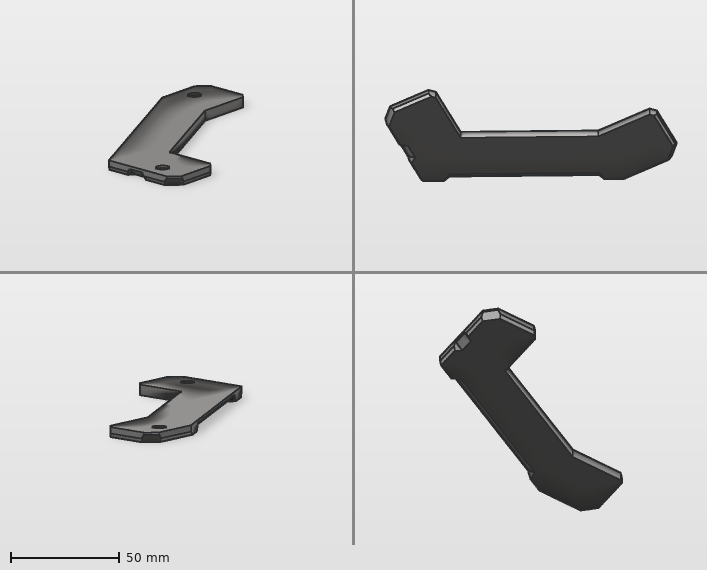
import cadquery as cq
import math

LENGTH_X = 83.5
LENGTH_Y = 113.5
THICKNESS = 5.0
ARM_WIDTH = 27.5
LARGE_CORNER = 5.0
SMALL_CORNER = 2.5

DIAGONAL_SLOPE = 2.0
STRIP_WIDTH = 24.0
OUTER_DIAGONAL_TOP = 85.75
STRIP_RISE = STRIP_WIDTH * math.hypot(1, DIAGONAL_SLOPE)
INNER_DIAGONAL_TOP = OUTER_DIAGONAL_TOP + STRIP_RISE - DIAGONAL_SLOPE * ARM_WIDTH
OUTER_DIAGONAL_FOOT = OUTER_DIAGONAL_TOP / DIAGONAL_SLOPE
INNER_DIAGONAL_FOOT = ARM_WIDTH + (INNER_DIAGONAL_TOP - ARM_WIDTH) / DIAGONAL_SLOPE

HOLE_DIAMETER = 6.3
HOLE_DEPTH = 1.25
HOLE_NEAR_EDGE = 8.5
HOLE_FAR_EDGE = 15.0

BEVEL_STEEPNESS = 2.0
EDGE_BEVEL_WIDTH = 1.0
EDGE_BEVEL_HEIGHT = BEVEL_STEEPNESS * EDGE_BEVEL_WIDTH
CORNER_BEVEL_WIDTH = 2.0
CORNER_BEVEL_HEIGHT = BEVEL_STEEPNESS * CORNER_BEVEL_WIDTH

NOTCH_HEIGHT = 3.5
NOTCH_ROOF_DEPTH = 0.25
NOTCH_FLARE = math.tan(math.radians(35.0))
FRONT_NOTCH_LENGTH = 7.3
FRONT_NOTCH_X = 59.4
DIAGONAL_NOTCH_LENGTH = 69.0
DIAGONAL_NOTCH_X = OUTER_DIAGONAL_FOOT / 2
DIAGONAL_NOTCH_Y = OUTER_DIAGONAL_TOP / 2

MARGIN = 1.0


def make_plate():
    outline = [
        (OUTER_DIAGONAL_FOOT, 0),
        (LENGTH_X - LARGE_CORNER, 0),
        (LENGTH_X, LARGE_CORNER),
        (LENGTH_X, ARM_WIDTH - SMALL_CORNER),
        (LENGTH_X - SMALL_CORNER, ARM_WIDTH),
        (INNER_DIAGONAL_FOOT, ARM_WIDTH),
        (ARM_WIDTH, INNER_DIAGONAL_TOP),
        (ARM_WIDTH, LENGTH_Y - SMALL_CORNER),
        (ARM_WIDTH - SMALL_CORNER, LENGTH_Y),
        (LARGE_CORNER, LENGTH_Y),
        (0, LENGTH_Y - LARGE_CORNER),
        (0, OUTER_DIAGONAL_TOP),
    ]
    return cq.Workplane("XY").polyline(outline).close().extrude(THICKNESS)


def place_on_edge(cutter, x, y, inward_angle):
    """Move a cutter built along +Y so that +Y points into the body from an edge point."""
    return cutter.rotate((0, 0, 0), (0, 0, 1), inward_angle - 90).translate((x, y, 0))


def bevel_cutter(width, height, length):
    """Wedge along X that bevels the lower edge of a wall standing at Y = 0."""
    slope = width / height
    profile = [
        (-MARGIN, -MARGIN),
        (width + slope * MARGIN, -MARGIN),
        (-slope * MARGIN, height + MARGIN),
        (-MARGIN, height + MARGIN),
    ]
    return cq.Workplane("YZ").polyline(profile).close().extrude(length / 2, both=True)


def notch_cutter(length):
    """Undercut below a wall at Y = 0; length is that of its sloping back face."""
    def section(depth):
        half = length / 2
        outer_half = half + NOTCH_FLARE * (depth + MARGIN)
        return [(-half, depth), (half, depth), (outer_half, -MARGIN), (-outer_half, -MARGIN)]

    return (
        cq.Workplane("XY")
        .polyline(section(NOTCH_ROOF_DEPTH + NOTCH_HEIGHT)).close()
        .workplane(offset=NOTCH_HEIGHT)
        .polyline(section(NOTCH_ROOF_DEPTH)).close()
        .loft(ruled=True)
    )


def cut_edge_bevels(body):
    straight_edges = [
        (LENGTH_X / 2, 0, 90),
        (0, LENGTH_Y / 2, 0),
        (LENGTH_X / 2, LENGTH_Y, -90),
        (LENGTH_X, LENGTH_Y / 2, 180),
    ]
    cutter = bevel_cutter(EDGE_BEVEL_WIDTH, EDGE_BEVEL_HEIGHT, 2 * LENGTH_Y)
    for x, y, inward_angle in straight_edges:
        body = body.cut(place_on_edge(cutter, x, y, inward_angle))
    return body


def cut_corner_bevels(body):
    corners = [
        (LENGTH_X - LARGE_CORNER / 2, LARGE_CORNER / 2, 135),
        (LARGE_CORNER / 2, LENGTH_Y - LARGE_CORNER / 2, -45),
    ]
    cutter = bevel_cutter(CORNER_BEVEL_WIDTH, CORNER_BEVEL_HEIGHT, 4 * LARGE_CORNER)
    for x, y, inward_angle in corners:
        body = body.cut(place_on_edge(cutter, x, y, inward_angle))
    return body


def cut_notches(body):
    front_notch = place_on_edge(notch_cutter(FRONT_NOTCH_LENGTH), FRONT_NOTCH_X, 0, 90)
    diagonal_inward_angle = math.degrees(math.atan2(1, DIAGONAL_SLOPE))
    diagonal_notch = place_on_edge(
        notch_cutter(DIAGONAL_NOTCH_LENGTH),
        DIAGONAL_NOTCH_X,
        DIAGONAL_NOTCH_Y,
        diagonal_inward_angle,
    )
    return body.cut(front_notch).cut(diagonal_notch)


def cut_holes(body):
    centers = [
        (HOLE_NEAR_EDGE, LENGTH_Y - HOLE_FAR_EDGE),
        (LENGTH_X - HOLE_FAR_EDGE, HOLE_NEAR_EDGE),
    ]
    holes = (
        cq.Workplane("XY")
        .workplane(offset=THICKNESS - HOLE_DEPTH)
        .pushPoints(centers)
        .circle(HOLE_DIAMETER / 2)
        .extrude(HOLE_DEPTH)
    )
    return body.cut(holes)


plate = make_plate()
plate = cut_edge_bevels(plate)
plate = cut_corner_bevels(plate)
plate = cut_notches(plate)
result = cut_holes(plate)